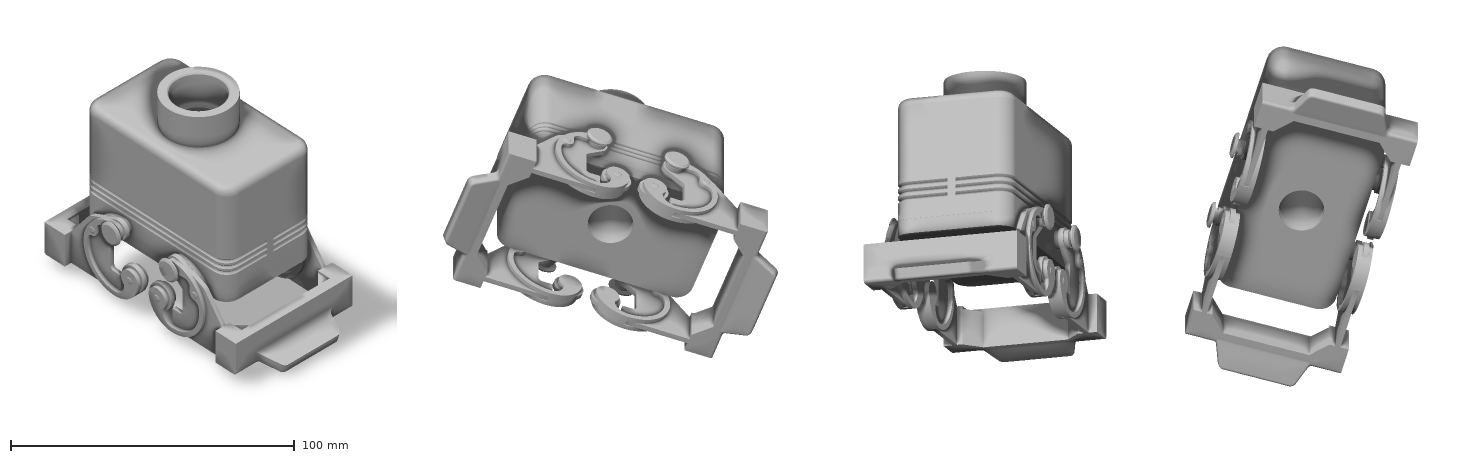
import cadquery as cq
import math


HOOD_LENGTH = 73.0
HOOD_WIDTH = 43.2
HOOD_HEIGHT = 50.0
HOOD_CORNER_RADIUS = 6.0
HOOD_TOP_FILLET = 3.1
SKIRT_HEIGHT = 5.2
SKIRT_INSET = 0.06

GROOVE_COUNT = 3
GROOVE_PITCH = 2.6
GROOVE_DEPTH = 0.8
LOWEST_GROOVE_Z = 12.9
GROOVE_GAP = 2.9

ENTRY_RADIUS = 14.5
ENTRY_TOP = 63.5
ENTRY_BORE_RADIUS = 10.7
ENTRY_BORE_DEPTH = 13.0
ENTRY_FLOOR_FILLET = 1.0
ENTRY_LIP_CHAMFER = 0.5
CABLE_HOLE_RADIUS = 8.0

LEVER_INNER_Y = 21.8
LEVER_OUTER_Y = 27.0
PLATE_INNER_Y = 23.5
PLATE_OUTER_Y = 25.4

PIVOT = (-14.5, 7.7)
PIVOT_RADIUS = 4.1
RIM_CENTRE = (PIVOT[0], -4.9)
RIM_RADIUS = 15.8
RIM_INNER_RADIUS = 13.8
RIM_END_RADIUS = RIM_CENTRE[1] + RIM_RADIUS - PIVOT[1]
RIM_UPPER_Z = 6.7
RIM_UPPER_RADIUS = 2.5
RIVET = (-26.0, 2.1)
RIVET_RADIUS = 1.4
RIVET_TIP_RADIUS = 0.99
RIVET_HEIGHT = 0.2
RIVET_BOSS_RADIUS = 2.5
RIVET_BLEND_ANGLE = 171

HOOK = (-7.0, -9.9)
HOOK_RADIUS = 4.3
HOOK_GAP_RADIUS = 4.9
ROLLER_RADIUS = 5.5

STEM_RADIUS = 2.6
STEM_EMBED = 1.2
BUTTON_RADIUS = 4.7
BUTTON_INNER_Y = 28.4
BUTTON_THICKNESS = 1.1
BUTTON_CHAMFER = 0.6
BUTTON_FACE_RADIUS = 3.8

BAR_OUTER_X = -48.6
BAR_INNER_X = -44.3
BAR_END_X = -38.3
BAR_TOP = -6.2
BAR_BOTTOM = -20.2
BAR_HALF_WIDTH = 28.5
BAR_END_INNER_Y = 21.5
GUSSET_INNER_Y = 15.7
GUSSET_DROP = 1.0
BAR_EDGE_FILLET = 1.0

SHOULDER = (-29.1, 5.9)
SHOULDER_RADIUS = 5.8
PLATE_INNER_X = -18.4
PLATE_TOE_X = -13.1
PLATE_TOE_Z = -11.9
PLATE_CORNER_RADIUS = 1.6
PLATE_LEDGE = (PLATE_INNER_X, -0.6)
HIGH_TANGENT_ANGLE = 112
LOW_TANGENT_ANGLE = -52

TAB_TIP_X = -58.2
TAB_TIP_TOP = -18.8
TAB_ANGLE = 15
TAB_THICKNESS = 4.2
TAB_ROOT_HALF_WIDTH = 18.3
TAB_TIP_HALF_WIDTH = 13.6
TAB_CORNER_RADIUS = 2.3
TAB_EDGE_FILLET = 0.8
TAB_ROOT_FILLET = 1.9
SEARCH_MARGIN = 0.01


def polar(centre, radius, degrees):
    """Point at an angle on a circle."""
    angle = math.radians(degrees)
    return (centre[0] + radius * math.cos(angle), centre[1] + radius * math.sin(angle))


def direction(start, end):
    """Angle in degrees of the line from one point to another."""
    return math.degrees(math.atan2(end[1] - start[1], end[0] - start[0]))


def layer(inner_y):
    """Workplane in X and Z on the -Y side, extruding outwards."""
    return cq.Workplane("XZ", origin=(0, -inner_y, 0))


def disc(centre, radius, inner_y, outer_y):
    return layer(inner_y).center(*centre).circle(radius).extrude(outer_y - inner_y)


def hood_outline(z, inset):
    """Rounded rectangle of the hood, drawn in by an inset."""
    sketch = (
        cq.Sketch()
        .rect(HOOD_LENGTH - 2 * inset, HOOD_WIDTH - 2 * inset)
        .vertices()
        .fillet(HOOD_CORNER_RADIUS - inset)
    )
    return cq.Workplane("XY", origin=(0, 0, z)).placeSketch(sketch)


def groove_cutter(middle_z):
    """V-shaped ring around the hood, interrupted on the end walls."""
    slab = hood_outline(middle_z - GROOVE_DEPTH, 0).extrude(2 * GROOVE_DEPTH)
    upper = hood_outline(middle_z, GROOVE_DEPTH).extrude(GROOVE_DEPTH, taper=-45)
    lower = hood_outline(middle_z, GROOVE_DEPTH).extrude(-GROOVE_DEPTH, taper=-45)
    gap = cq.Workplane("XY", origin=(0, 0, middle_z)).box(
        HOOD_LENGTH, GROOVE_GAP, 2 * GROOVE_DEPTH
    )
    return slab.cut(upper).cut(lower).cut(gap)


def make_hood():
    hood = hood_outline(SKIRT_HEIGHT, 0).extrude(HOOD_HEIGHT - SKIRT_HEIGHT)
    hood = hood.faces(">Z").edges().fillet(HOOD_TOP_FILLET)
    hood = hood.union(hood_outline(0, SKIRT_INSET).extrude(SKIRT_HEIGHT))
    for index in range(GROOVE_COUNT):
        hood = hood.cut(groove_cutter(LOWEST_GROOVE_Z + index * GROOVE_PITCH))

    entry = cq.Workplane("XY").circle(ENTRY_RADIUS).extrude(ENTRY_TOP)
    bore = (
        cq.Workplane("XY", origin=(0, 0, ENTRY_TOP - ENTRY_BORE_DEPTH))
        .circle(ENTRY_BORE_RADIUS)
        .extrude(ENTRY_BORE_DEPTH)
        .faces("<Z")
        .edges()
        .fillet(ENTRY_FLOOR_FILLET)
    )
    lip = (
        cq.Workplane("XY", origin=(0, 0, ENTRY_TOP))
        .circle(ENTRY_BORE_RADIUS + ENTRY_LIP_CHAMFER)
        .extrude(-ENTRY_LIP_CHAMFER, taper=45)
    )
    cable_hole = cq.Workplane("XY").circle(CABLE_HOLE_RADIUS).extrude(ENTRY_TOP)
    return hood.union(entry).cut(bore).cut(lip).cut(cable_hole)


def rim_outline(inner_y):
    """C-shaped rim with the hook at its free end."""
    side = HOOK[0] - RIM_CENTRE[0]
    rise = HOOK[1] - RIM_CENTRE[1]
    slack = RIM_RADIUS - HOOK_RADIUS
    drop = (slack**2 - side**2 - rise**2) / (2 * (slack + rise))
    tail_centre = (RIM_CENTRE[0], RIM_CENTRE[1] - drop)
    tail_radius = RIM_RADIUS - drop
    tail_angle = direction(tail_centre, HOOK)

    gap_centre = (RIM_CENTRE[0], RIM_CENTRE[1] - RIM_INNER_RADIUS + HOOK_GAP_RADIUS)
    span = math.dist(gap_centre, HOOK)
    cosine = (span**2 + HOOK_GAP_RADIUS**2 - HOOK_RADIUS**2) / (2 * span * HOOK_GAP_RADIUS)
    neck_angle = direction(gap_centre, HOOK) - math.degrees(math.acos(cosine))

    blend_start = polar(RIM_CENTRE, RIM_INNER_RADIUS, RIVET_BLEND_ANGLE)
    boss_bottom = polar(RIVET, RIVET_BOSS_RADIUS, -90)
    blend_corner = (blend_start[0], boss_bottom[1])
    blend_middle = (
        (blend_start[0] + boss_bottom[0] + blend_corner[0]) / 3,
        (blend_start[1] + boss_bottom[1] + blend_corner[1]) / 3,
    )
    boss_side = polar(RIVET, RIVET_BOSS_RADIUS, 0)
    upper_centre = (boss_side[0] + RIM_UPPER_RADIUS, RIM_UPPER_Z - RIM_UPPER_RADIUS)

    return (
        layer(inner_y)
        .moveTo(*polar(RIM_CENTRE, RIM_RADIUS, 90))
        .threePointArc(polar(RIM_CENTRE, RIM_RADIUS, 180), polar(RIM_CENTRE, RIM_RADIUS, 270))
        .threePointArc(polar(tail_centre, tail_radius, -45), polar(tail_centre, tail_radius, tail_angle))
        .threePointArc(
            polar(HOOK, HOOK_RADIUS, 120),
            polar(gap_centre, HOOK_GAP_RADIUS, neck_angle),
        )
        .threePointArc(
            polar(gap_centre, HOOK_GAP_RADIUS, -45),
            polar(gap_centre, HOOK_GAP_RADIUS, -90),
        )
        .threePointArc(polar(RIM_CENTRE, RIM_INNER_RADIUS, 220), blend_start)
        .threePointArc(blend_middle, boss_bottom)
        .threePointArc(polar(RIVET, RIVET_BOSS_RADIUS, -45), boss_side)
        .lineTo(boss_side[0], upper_centre[1])
        .threePointArc(
            polar(upper_centre, RIM_UPPER_RADIUS, 135),
            polar(upper_centre, RIM_UPPER_RADIUS, 90),
        )
        .lineTo(PIVOT[0], RIM_UPPER_Z)
        .close()
    )


def rivet_head(centre):
    """Short tapered head standing on the lever's outer face."""
    return (
        layer(LEVER_OUTER_Y)
        .center(*centre)
        .circle(RIVET_RADIUS)
        .workplane(offset=RIVET_HEIGHT)
        .circle(RIVET_TIP_RADIUS)
        .loft()
    )


def make_plate():
    """Flat bail plate between the two lever rims."""
    plate = (
        layer(PLATE_INNER_Y)
        .moveTo(BAR_END_X, BAR_BOTTOM)
        .lineTo(BAR_END_X, BAR_TOP)
        .lineTo(*SHOULDER)
        .lineTo(*polar(PIVOT, PIVOT_RADIUS, HIGH_TANGENT_ANGLE))
        .threePointArc(
            polar(PIVOT, PIVOT_RADIUS, 0),
            polar(PIVOT, PIVOT_RADIUS, LOW_TANGENT_ANGLE),
        )
        .lineTo(*PLATE_LEDGE)
        .lineTo(PLATE_INNER_X, PLATE_TOE_Z)
        .lineTo(PLATE_TOE_X, PLATE_TOE_Z)
        .lineTo(PLATE_TOE_X, RIM_CENTRE[1] - RIM_INNER_RADIUS)
        .lineTo(RIM_CENTRE[0], BAR_BOTTOM)
        .close()
        .extrude(PLATE_OUTER_Y - PLATE_INNER_Y)
    )
    middle_y = -(PLATE_INNER_Y + PLATE_OUTER_Y) / 2
    for corner, radius in (
        (SHOULDER, SHOULDER_RADIUS),
        (PLATE_LEDGE, PLATE_CORNER_RADIUS),
        ((PLATE_INNER_X, PLATE_TOE_Z), PLATE_CORNER_RADIUS),
    ):
        nearest = cq.selectors.NearestToPointSelector((corner[0], middle_y, corner[1]))
        plate = plate.edges("|Y").edges(nearest).fillet(radius)
    return plate


def make_lever():
    """Plate, rims, hook, roller and pivot button of one quarter of the part."""
    lever = make_plate()
    for inner_y, outer_y in ((LEVER_INNER_Y, PLATE_INNER_Y), (PLATE_OUTER_Y, LEVER_OUTER_Y)):
        lever = lever.union(rim_outline(inner_y).extrude(outer_y - inner_y))

    arm_length = HOOK[0] + HOOK_RADIUS - RIM_CENTRE[0]
    arm_region = cq.Workplane("XY").box(
        arm_length, 2 * LEVER_OUTER_Y, RIM_RADIUS, centered=(False, True, False)
    ).translate((RIM_CENTRE[0], 0, RIM_CENTRE[1] - RIM_RADIUS))
    arm = rim_outline(LEVER_INNER_Y).extrude(LEVER_OUTER_Y - LEVER_INNER_Y).intersect(arm_region)
    lever = lever.union(arm)

    lever = lever.union(disc(PIVOT, RIM_END_RADIUS, LEVER_INNER_Y, LEVER_OUTER_Y))
    lever = lever.union(disc(HOOK, ROLLER_RADIUS, PLATE_INNER_Y, PLATE_OUTER_Y))
    for centre in (HOOK, RIVET):
        lever = lever.union(rivet_head(centre))

    stem = disc(PIVOT, STEM_RADIUS, LEVER_INNER_Y - STEM_EMBED, BUTTON_INNER_Y)
    button = (
        disc(PIVOT, BUTTON_RADIUS, BUTTON_INNER_Y, BUTTON_INNER_Y + BUTTON_THICKNESS)
        .faces("<Y")
        .edges()
        .chamfer(BUTTON_CHAMFER, BUTTON_RADIUS - BUTTON_FACE_RADIUS)
    )
    return lever.union(stem).union(button)


def bar_block(start_x, end_x, half_width):
    """Full-height block across the part."""
    return cq.Workplane("XY", origin=(start_x, 0, BAR_BOTTOM)).box(
        end_x - start_x, 2 * half_width, BAR_TOP - BAR_BOTTOM, centered=(False, True, False)
    )


def make_bar():
    bar = bar_block(BAR_OUTER_X, BAR_END_X, BAR_HALF_WIDTH)
    bar = bar.cut(bar_block(BAR_INNER_X, BAR_END_X, BAR_END_INNER_Y))
    bar = bar.faces("<X").edges("<Z").fillet(BAR_EDGE_FILLET)
    for side in (-1, 1):
        gusset = (
            cq.Workplane("XY", origin=(0, 0, BAR_BOTTOM))
            .moveTo(BAR_INNER_X, side * GUSSET_INNER_Y)
            .lineTo(BAR_INNER_X, side * BAR_END_INNER_Y)
            .lineTo(BAR_END_X, side * BAR_END_INNER_Y)
            .close()
            .extrude(BAR_TOP - GUSSET_DROP - BAR_BOTTOM)
        )
        bar = bar.union(gusset)
    return bar


def make_tab():
    """Finger tab sloping down from the bar, rooted inside the bar."""
    root_x = (BAR_OUTER_X + BAR_INNER_X) / 2
    reach = (root_x - TAB_TIP_X) / math.cos(math.radians(TAB_ANGLE))
    return (
        cq.Workplane("XY")
        .moveTo(0, -TAB_TIP_HALF_WIDTH)
        .lineTo(reach, -TAB_ROOT_HALF_WIDTH)
        .lineTo(reach, TAB_ROOT_HALF_WIDTH)
        .lineTo(0, TAB_TIP_HALF_WIDTH)
        .close()
        .extrude(-TAB_THICKNESS)
        .edges("|Z and <X")
        .fillet(TAB_CORNER_RADIUS)
        .faces("<Z")
        .edges("not >X")
        .fillet(TAB_EDGE_FILLET)
        .rotate((0, 0, 0), (0, 1, 0), -TAB_ANGLE)
        .translate((TAB_TIP_X, 0, TAB_TIP_TOP))
    )


def join_tab(bar, tab):
    """Bar and tab in one, with fillets along the top and the sides of the tab's root."""
    joined = bar.union(tab)
    root_top = TAB_TIP_TOP + math.tan(math.radians(TAB_ANGLE)) * (BAR_OUTER_X - TAB_TIP_X)
    root_region = cq.selectors.BoxSelector(
        (BAR_OUTER_X - SEARCH_MARGIN, -TAB_ROOT_HALF_WIDTH, BAR_BOTTOM + BAR_EDGE_FILLET),
        (BAR_OUTER_X + SEARCH_MARGIN, TAB_ROOT_HALF_WIDTH, root_top + SEARCH_MARGIN),
    )
    return joined.edges(root_region).fillet(TAB_ROOT_FILLET)


lever = make_lever()
bail = join_tab(make_bar(), make_tab()).union(lever).union(lever.mirror("XZ"))
result = make_hood().union(bail).union(bail.mirror("YZ"))